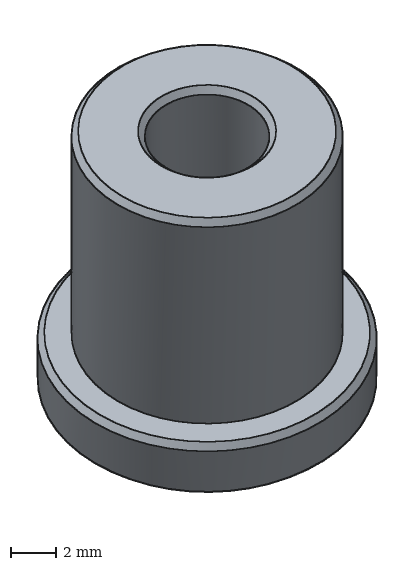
import cadquery as cq

total_height = 15.0
flange_diameter = 15.0
flange_height = 3.0
body_diameter = 12.0
bore_diameter = 5.5
edge_chamfer = 0.3


def chamfered_flange():
    flange = cq.Workplane("XY").circle(flange_diameter / 2).extrude(flange_height)
    return flange.edges().chamfer(edge_chamfer)


def chamfered_body():
    body = cq.Workplane("XY").circle(body_diameter / 2).extrude(total_height)
    return body.faces(">Z").edges().chamfer(edge_chamfer)


bushing = chamfered_flange().union(chamfered_body())

bore = cq.Workplane("XY").circle(bore_diameter / 2).extrude(total_height)
bushing = bushing.cut(bore)
bore_mouths = cq.selectors.RadiusNthSelector(0)
result = bushing.edges("%CIRCLE").edges(bore_mouths).chamfer(edge_chamfer)